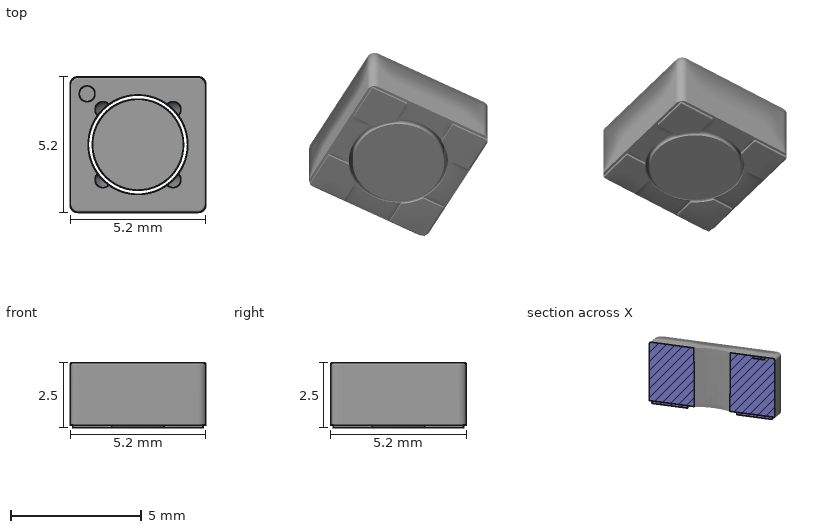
import cadquery as cq
import math

side = 5.2
total_height = 2.5
pad_thickness = 0.1

corner_radius = 0.3
top_edge_radius = 0.1
bore_diameter = 3.8
pocket_radius = 0.3
pocket_offset = bore_diameter / 2 * math.sqrt(0.5)

core_diameter = 3.5

marker_radius = 0.3
marker_depth = 0.1
marker_offset = 1.95

pad_inset = 0.1
pad_gap = 2.0
pad_side = (side - 2 * pad_inset - pad_gap) / 2
pad_offset = (pad_gap + pad_side) / 2

DIAGONAL_SIGNS = [(-1, -1), (1, -1), (1, 1), (-1, 1)]


def make_bore():
    """Cylinder that clears the core over the full height."""
    return cq.Workplane("XY").circle(bore_diameter / 2).extrude(total_height)


def make_pocket(x_sign, y_sign):
    """Ball that cuts a hemispherical pocket into the top face."""
    center = (x_sign * pocket_offset, y_sign * pocket_offset, total_height)
    return cq.Workplane("XY").sphere(pocket_radius).translate(center)


def make_marker():
    return (
        cq.Workplane("XY", origin=(0, 0, total_height))
        .center(-marker_offset, marker_offset)
        .circle(marker_radius)
        .extrude(-marker_depth)
    )


def make_housing():
    """Rounded block with a through bore, four pockets and a marker recess."""
    block = (
        cq.Workplane("XY", origin=(0, 0, pad_thickness))
        .rect(side, side)
        .extrude(total_height - pad_thickness)
        .edges("|Z")
        .fillet(corner_radius)
        .faces(">Z")
        .edges()
        .fillet(top_edge_radius)
    )
    block = block.cut(make_bore())
    for x_sign, y_sign in DIAGONAL_SIGNS:
        block = block.cut(make_pocket(x_sign, y_sign))
    return block.cut(make_marker())


def make_core():
    return cq.Workplane("XY").circle(core_diameter / 2).extrude(total_height)


def make_pad(x_sign, y_sign):
    """Square corner pad, trimmed along the bore."""
    return (
        cq.Workplane("XY")
        .center(x_sign * pad_offset, y_sign * pad_offset)
        .rect(pad_side, pad_side)
        .extrude(pad_thickness)
        .cut(make_bore())
    )


housing = make_housing()
core = make_core()
marker = make_marker()
pads = [make_pad(x_sign, y_sign).val() for x_sign, y_sign in DIAGONAL_SIGNS]

result = cq.Compound.makeCompound(
    [housing.solids().val(), core.val(), marker.val(), *[pad.Solids()[0] for pad in pads]]
)